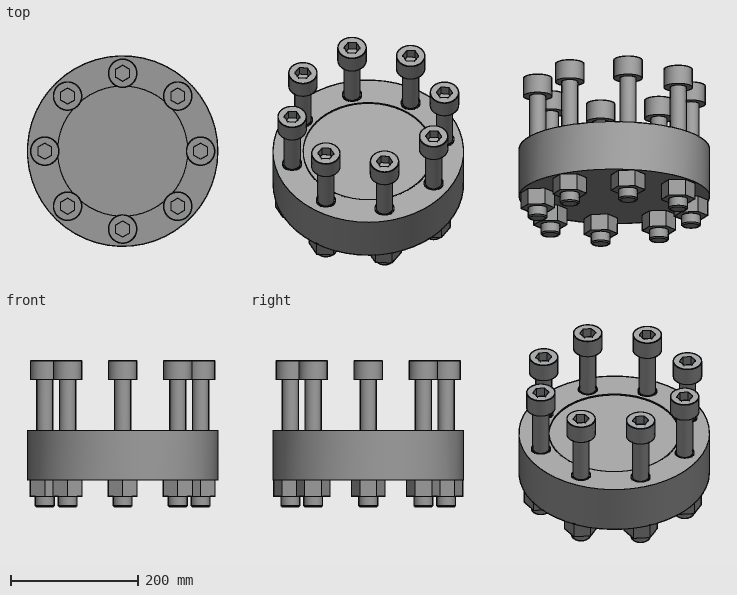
import cadquery as cq

flange_diameter = 300.0
flange_height = 78.0
recess_diameter = 205.0
recess_depth = 2.0

bolt_count = 8
bolt_circle_diameter = 245.0

head_diameter = 45.0
head_height = 30.0
head_chamfer = 0.5
socket_across_flats = 22.0
socket_depth = 15.5
shank_diameter = 25.8
shank_length = 80.0
thread_diameter = 30.0
thread_length = 120.0
thread_chamfer = (thread_diameter - shank_diameter) / 2

nut_across_flats = 46.0
nut_height = 25.5

thread_end = flange_height - thread_length
shank_top = flange_height + shank_length
head_top = shank_top + head_height


def cylinder(diameter, bottom, height):
    """Upright cylinder on the Z axis."""
    return cq.Workplane("XY").workplane(offset=bottom).circle(diameter / 2).extrude(height)


def hexagon(across_flats, bottom, height):
    """Upright hexagonal prism on the Z axis with two flats facing +X and -X."""
    return (
        cq.Workplane("XY")
        .workplane(offset=bottom)
        .polygon(6, across_flats, circumscribed=True)
        .extrude(height)
    )


def make_bolt():
    """Bolt with its nut; the thread starts flush with the top of the flange."""
    head = cylinder(head_diameter, shank_top, head_height).faces(">Z").chamfer(head_chamfer)
    head = head.cut(hexagon(socket_across_flats, head_top - socket_depth, socket_depth))
    shank = cylinder(shank_diameter, flange_height - thread_chamfer, shank_length + thread_chamfer)
    thread = cylinder(thread_diameter, thread_end, thread_length)
    thread = thread.faces("<Z or >Z").chamfer(thread_chamfer)
    nut = hexagon(nut_across_flats, -nut_height, nut_height)
    return head.union(shank).union(thread).union(nut)


def make_flange():
    """Disc with a shallow round recess on top and a hole for each bolt."""
    recess = cylinder(recess_diameter, flange_height - recess_depth, recess_depth)
    disc = cylinder(flange_diameter, 0, flange_height).cut(recess)
    holes = (
        cq.Workplane("XY")
        .polarArray(bolt_circle_diameter / 2, 0, 360, bolt_count)
        .circle(thread_diameter / 2)
        .extrude(flange_height)
    )
    return disc.cut(holes)


bolts = (
    cq.Workplane("XY")
    .polarArray(bolt_circle_diameter / 2, 0, 360, bolt_count, rotate=False)
    .eachpoint(make_bolt().val(), combine=False)
)
result = make_flange().union(bolts)